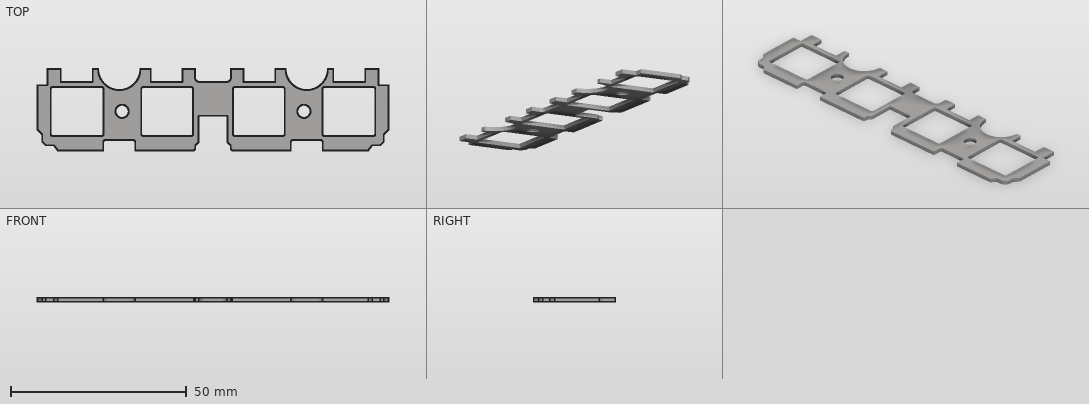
import cadquery as cq

length = 100.0
width = 23.3
thickness = 1.2
half_length = length / 2

ledge_level = 19.6
shoulder_level = 18.7
bridge_bottom = 9.9

end_tab_outer = 47.2
tab_gaps = [(34.3, 43.3), (8.7, 17.7)]
bridge_tab_inner = 5.1
bridge_fillet = 1.2

corner_top = 6.0
step_top = 4.6
step_inset = 1.3
step_x = half_length - step_inset
chamfer = 1.1
step_floor = 1.5
chamfer_top = step_floor + chamfer
step_end = 45.3
foot_outer = 44.2

leg_inner = 4.1
leg_step = 0.9
leg_outer = leg_inner + leg_step
leg_chamfer_top = 2.4
foot_chamfer = 0.5

notch_outer = 31.2
notch_inner = 22.2
notch_height = 3.0
notch_fillet = 0.5

scallop_x = 26.7
scallop_diameter = 12.0
hole_x = 25.9
hole_y = 11.2
hole_diameter = 3.7

window_bottom = 4.2
window_top = 18.1
outer_window = (31.2, 46.2)
inner_window = (5.7, 20.4)
window_fillet = 0.5


def block(near, far, bottom, top):
    """Full-thickness block in the left half, between two distances from the mirror plane."""
    solid = cq.Workplane("XY").box(far - near, top - bottom, thickness, centered=False)
    return solid.translate((-far, bottom, 0))


def cylinder(distance, y, diameter):
    """Full-thickness cylinder in the left half, at a distance from the mirror plane."""
    return cq.Workplane("XY").center(-distance, y).circle(diameter / 2).extrude(thickness)


def left_blank():
    """Solid left half, before its gaps, notch and holes are cut."""
    outline = [
        (0, bridge_bottom),
        (-leg_inner, bridge_bottom),
        (-leg_inner, leg_chamfer_top),
        (-leg_outer, leg_chamfer_top - leg_step),
        (-leg_outer, foot_chamfer),
        (-leg_outer - foot_chamfer, 0),
        (-foot_outer, 0),
        (-step_end, step_floor),
        (-step_x + chamfer, step_floor),
        (-step_x, chamfer_top),
        (-step_x, step_top),
        (-half_length, corner_top),
        (-half_length, shoulder_level),
        (-end_tab_outer, shoulder_level),
        (-end_tab_outer, width),
        (-bridge_tab_inner, width),
        (-bridge_tab_inner, ledge_level),
        (0, ledge_level),
    ]
    blank = cq.Workplane("XY").polyline(outline).close().extrude(thickness)
    at_bridge_corner = cq.selectors.NearestToPointSelector((-bridge_tab_inner, ledge_level, thickness / 2))
    return blank.edges(at_bridge_corner).fillet(bridge_fillet)


half = left_blank()

for near, far in tab_gaps:
    half = half.cut(block(near, far, ledge_level, width))

notch = block(notch_inner, notch_outer, 0, notch_height)
half = half.cut(notch.edges("|Z and >Y").fillet(notch_fillet))

half = half.cut(cylinder(scallop_x, width, scallop_diameter))
half = half.cut(cylinder(hole_x, hole_y, hole_diameter))

for near, far in (outer_window, inner_window):
    window = block(near, far, window_bottom, window_top)
    half = half.cut(window.edges("|Z").fillet(window_fillet))

result = half.union(half.mirror("YZ"))